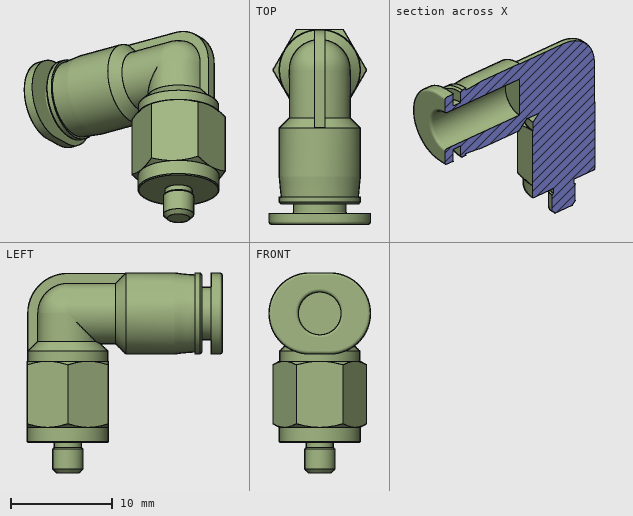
import cadquery as cq
import math


TUBE_RADIUS = 3.0
RIB_THICKNESS = 1.0

COLLAR_RADIUS = 3.95
COLLAR_CONE_START = 2.75
COLLAR_CONE_END = COLLAR_CONE_START + COLLAR_RADIUS - TUBE_RADIUS
HEX_SIDES = 6
HEX_ACROSS_FLATS = 8.0
HEX_TOP = 4.7
HEX_HEIGHT = 6.5
HEX_BOTTOM = HEX_TOP + HEX_HEIGHT
HEX_CHAMFER_ANGLE = 30.0
HEX_ENVELOPE_MARGIN = 0.5
FLANGE_RADIUS = HEX_ACROSS_FLATS / 2
FLANGE_BOTTOM = 12.7
FLANGE_CHAMFER = 0.1
THREAD_RADIUS = 1.5
THREAD_RELIEF_RADIUS = 1.35
THREAD_START = 13.2
THREAD_TIP_CHAMFER = 0.4
STEM_LENGTH = 15.7

BODY_RADIUS = 4.0
BODY_CONE_START = 4.7
BODY_CONE_END = BODY_CONE_START + BODY_RADIUS - TUBE_RADIUS
TAPER_START = 10.5
TAPER_END_RADIUS = 3.8
RING_START = 12.5
RING_END = 13.2
RING_CHAMFER = 0.2
SLEEVE_RADIUS = 2.6
SLEEVE_FILLET = 0.1

PLATE_WIDTH = 10.0
PLATE_HEIGHT = 8.0
PLATE_THICKNESS = 1.1
PLATE_FILLET = 0.3
BRANCH_LENGTH = 15.2
PLATE_START = BRANCH_LENGTH - PLATE_THICKNESS

BORE_RADIUS = 2.1
BORE_FLOOR = BODY_CONE_END
BORE_FILLET = 0.3


def turned(profile):
    """Revolve (radius, distance) points about the Z axis, with distance running down -Z."""
    points = [(radius, -distance) for radius, distance in profile]
    outline = cq.Workplane("XZ").polyline(points).close()
    return outline.revolve(360, (0, 0, 0), (0, 1, 0))


def along_branch(solid):
    """Swing a solid built down -Z so that it points along -Y."""
    return solid.rotate((0, 0, 0), (1, 0, 0), -90)


def make_stem():
    """Turned parts of the stem: tube, collar, flange, thread relief and thread."""
    relief_step = THREAD_RADIUS - THREAD_RELIEF_RADIUS
    return turned([
        (0, 0),
        (TUBE_RADIUS, 0),
        (TUBE_RADIUS, COLLAR_CONE_START),
        (COLLAR_RADIUS, COLLAR_CONE_END),
        (COLLAR_RADIUS, HEX_BOTTOM),
        (FLANGE_RADIUS, HEX_BOTTOM),
        (FLANGE_RADIUS, FLANGE_BOTTOM - FLANGE_CHAMFER),
        (FLANGE_RADIUS - FLANGE_CHAMFER, FLANGE_BOTTOM),
        (THREAD_RELIEF_RADIUS, FLANGE_BOTTOM),
        (THREAD_RELIEF_RADIUS, THREAD_START),
        (THREAD_RADIUS, THREAD_START + relief_step),
        (THREAD_RADIUS, STEM_LENGTH - THREAD_TIP_CHAMFER),
        (THREAD_RADIUS - THREAD_TIP_CHAMFER, STEM_LENGTH),
        (0, STEM_LENGTH),
    ])


def make_hex():
    """Hexagon with flats facing +-Y, its corners turned off by a cone at both ends."""
    flat_radius = HEX_ACROSS_FLATS / 2
    corner_radius = flat_radius / math.cos(math.pi / HEX_SIDES)
    outer_radius = corner_radius + HEX_ENVELOPE_MARGIN
    drop = (outer_radius - flat_radius) * math.tan(math.radians(HEX_CHAMFER_ANGLE))
    prism = (
        cq.Workplane("XY", origin=(0, 0, -HEX_BOTTOM))
        .polygon(HEX_SIDES, 2 * corner_radius)
        .extrude(HEX_HEIGHT)
    )
    envelope = turned([
        (0, HEX_TOP),
        (flat_radius, HEX_TOP),
        (outer_radius, HEX_TOP + drop),
        (outer_radius, HEX_BOTTOM - drop),
        (flat_radius, HEX_BOTTOM),
        (0, HEX_BOTTOM),
    ])
    return prism.intersect(envelope)


def make_branch():
    """Turned parts of the branch: tube, body, tapered nose, end ring and sleeve."""
    return along_branch(turned([
        (0, 0),
        (TUBE_RADIUS, 0),
        (TUBE_RADIUS, BODY_CONE_START),
        (BODY_RADIUS, BODY_CONE_END),
        (BODY_RADIUS, TAPER_START),
        (TAPER_END_RADIUS, RING_START),
        (BODY_RADIUS, RING_START),
        (BODY_RADIUS, RING_END - RING_CHAMFER),
        (BODY_RADIUS - RING_CHAMFER, RING_END),
        (SLEEVE_RADIUS, RING_END),
        (SLEEVE_RADIUS, PLATE_START),
        (0, PLATE_START),
    ]))


def make_rib():
    """Flat rib around the outside of the elbow, from the collar to the branch body."""
    reach = COLLAR_RADIUS
    bend = reach * math.sin(math.radians(45))
    return (
        cq.Workplane("YZ")
        .moveTo(0, 0)
        .lineTo(0, -COLLAR_CONE_END)
        .lineTo(reach, -COLLAR_CONE_END)
        .lineTo(reach, 0)
        .threePointArc((bend, bend), (0, reach))
        .lineTo(-BODY_CONE_END, reach)
        .lineTo(-BODY_CONE_END, 0)
        .close()
        .extrude(RIB_THICKNESS / 2, both=True)
    )


def make_plate():
    """Oblong release plate, rounded around its outer face."""
    plate = (
        cq.Workplane("XZ", origin=(0, -PLATE_START, 0))
        .slot2D(PLATE_WIDTH, PLATE_HEIGHT)
        .extrude(PLATE_THICKNESS)
    )
    return plate.faces("<Y").edges().fillet(PLATE_FILLET)


def fillet_sleeve_root(body):
    """Small fillet where the sleeve runs into the back of the release plate."""
    reach = SLEEVE_RADIUS + SLEEVE_FILLET
    root = cq.selectors.BoxSelector(
        (-reach, -PLATE_START - SLEEVE_FILLET, -reach),
        (reach, -PLATE_START + SLEEVE_FILLET, reach),
        boundingbox=True,
    )
    return body.edges(root).fillet(SLEEVE_FILLET)


def cut_bore(body):
    """Blind socket from the plate face, with a rounded mouth."""
    bore = (
        cq.Workplane("XZ", origin=(0, -BORE_FLOOR, 0))
        .circle(BORE_RADIUS)
        .extrude(BRANCH_LENGTH - BORE_FLOOR)
    )
    bored = body.cut(bore)
    mouth = bored.faces("<Y").edges("%CIRCLE").edges(cq.selectors.RadiusNthSelector(0))
    return mouth.fillet(BORE_FILLET)


elbow_corner = cq.Workplane("XY").sphere(TUBE_RADIUS)
fitting = make_stem().union(make_branch()).union(elbow_corner)
fitting = fitting.union(make_hex()).union(make_rib()).union(make_plate())
fitting = fillet_sleeve_root(fitting)
result = cut_bore(fitting)